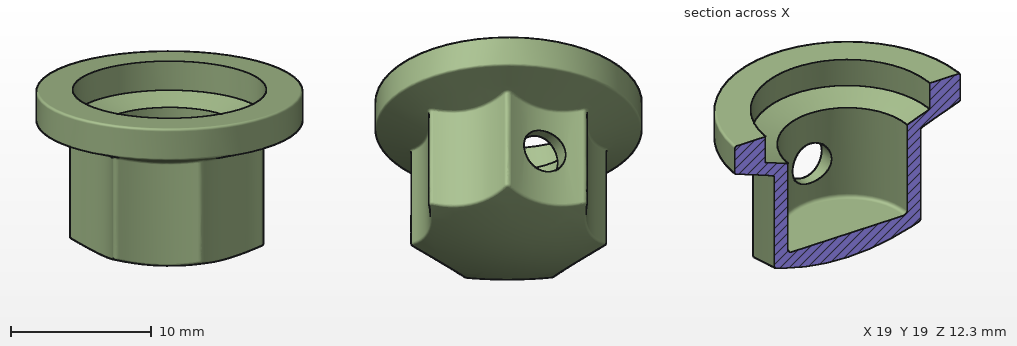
import cadquery as cq
import math

rim_radius = 9.5
total_height = 12.3

rim_bottom = 9.98
rim_rounding = 0.19
cone_angle = 20.0
cone_slope = math.tan(math.radians(cone_angle))

side_count = 7
corner_radius = 7.28
side_middle_radius = 5.89
corner_rounding = 0.3
edge_rounding = 0.19
dome_radius = 18.0

recess_radius = 6.9
recess_depth = 2.17
bore_radius = 5.0
bore_floor = 2.0
floor_rounding = 0.28

hole_radius = 1.63
hole_height = 5.26


def polar(radius, angle):
    return radius * math.cos(angle), radius * math.sin(angle)


def make_grip():
    """Hollow-sided prism with a corner on +X, cut by a spherical dome."""
    step = 2 * math.pi / side_count
    outline = cq.Workplane("XY").moveTo(corner_radius, 0)
    for side in range(side_count):
        middle = polar(side_middle_radius, (side + 0.5) * step)
        corner = polar(corner_radius, (side + 1) * step)
        outline = outline.threePointArc(middle, corner)
    prism = outline.close().extrude(rim_bottom).edges("|Z").fillet(corner_rounding)
    dome = cq.Workplane("XY").sphere(dome_radius).translate((0, 0, dome_radius))
    return prism.intersect(dome).faces("<Z").edges().fillet(edge_rounding)


def make_flange():
    """Cylindrical rim with rounded edges over a solid cone."""
    cone_tip = rim_bottom - rim_radius * cone_slope
    profile = [(0, cone_tip), (rim_radius, rim_bottom), (rim_radius, total_height), (0, total_height)]
    flange = cq.Workplane("XZ").polyline(profile).close().revolve(360, (0, 0), (0, 1))
    rim_edges = cq.selectors.BoxSelector(
        (-2 * rim_radius, -2 * rim_radius, rim_bottom - rim_rounding),
        (2 * rim_radius, 2 * rim_radius, total_height + rim_rounding),
        boundingbox=True,
    )
    return flange.edges("%CIRCLE").edges(rim_edges).fillet(rim_rounding)


def round_grip_to_cone(body):
    """Fillet the wavy line where the grip runs into the cone."""
    reach = corner_radius + edge_rounding
    lowest = rim_bottom - (rim_radius - side_middle_radius) * cone_slope - edge_rounding
    junction = cq.selectors.BoxSelector(
        (-reach, -reach, lowest), (reach, reach, rim_bottom), boundingbox=True
    )
    return body.edges(junction).fillet(edge_rounding)


def make_bore():
    """Wide recess, sloping shoulder and narrower bore with a rounded floor edge."""
    recess_floor = total_height - recess_depth
    bore_top = recess_floor - (recess_radius - bore_radius) * cone_slope
    profile = [
        (0, bore_floor),
        (bore_radius, bore_floor),
        (bore_radius, bore_top),
        (recess_radius, recess_floor),
        (recess_radius, total_height),
        (0, total_height),
    ]
    bore = cq.Workplane("XZ").polyline(profile).close().revolve(360, (0, 0), (0, 1))
    return bore.faces("<Z").edges().fillet(floor_rounding)


def make_cross_hole():
    """Radial hole from the -X side into the bore."""
    return cq.Workplane("YZ").center(0, hole_height).circle(hole_radius).extrude(-corner_radius)


body = round_grip_to_cone(make_grip().union(make_flange()))
result = body.cut(make_bore()).cut(make_cross_hole())